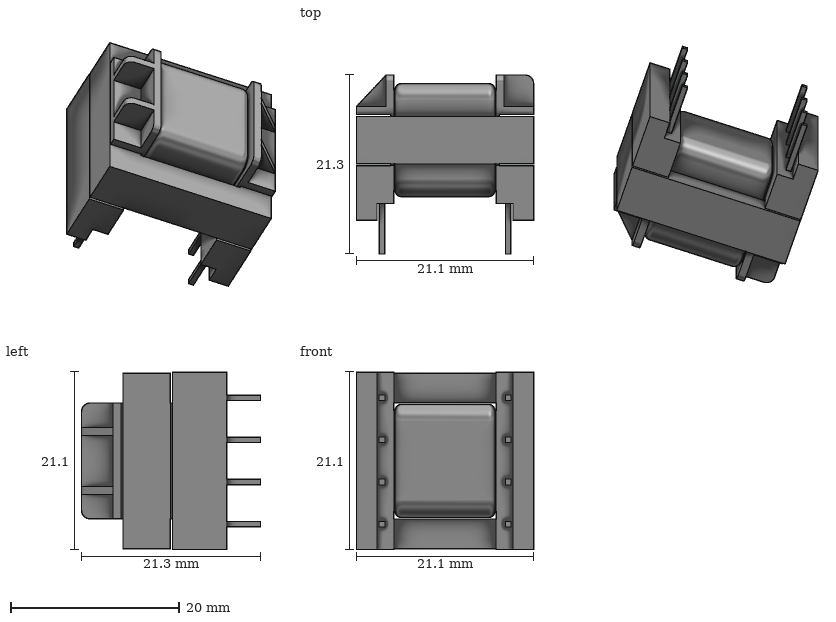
import cadquery as cq


WIDTH = 21.1
CORE_HEIGHT = 20.9
CORE_DEPTH = 5.67
WINDOW_HEIGHT = 13.8

FLANGE_GAP = 12.15
FLANGE_THICKNESS = 0.4
CORE_CLEARANCE = 0.21
BLOCK_HEIGHT = WIDTH
BLOCK_DEPTH = 6.5
BLOCK_STEP_DEPTH = 4.5
BLOCK_OUTER_WIDTH = 2.5
WALL_THICKNESS = 0.94
BRACKET_DEPTH = 4.7
BRACKET_CORNER_RADIUS = 1.02
RIB_OFFSET = 3.5

COIL_LENGTH = 11.93
COIL_SIZE = 13.48
COIL_CORNER_RADIUS = 2.0
COIL_END_RADIUS = 0.79

PIN_SIZE = 0.65
PIN_LENGTH = 4.0
PIN_PITCH = 5.0
PIN_X = 7.5
PINS_PER_SIDE = 4

half_width = WIDTH / 2
inner_x = FLANGE_GAP / 2
window_half_width = inner_x + FLANGE_THICKNESS
block_front_y = -(CORE_DEPTH / 2 + CORE_CLEARANCE)
block_step_y = block_front_y - BLOCK_STEP_DEPTH
block_end_y = block_front_y - BLOCK_DEPTH
pin_tip_y = block_end_y - PIN_LENGTH
bracket_start_y = CORE_DEPTH / 2 + CORE_CLEARANCE
bracket_plate_y = bracket_start_y + WALL_THICKNESS
bracket_end_y = bracket_start_y + BRACKET_DEPTH


def box_between(x_range, y_range, height):
    """Box spanning two X and two Y positions, centred on Z = 0."""
    x_start, x_end = x_range
    y_start, y_end = y_range
    return (
        cq.Workplane("XY")
        .box(x_end - x_start, y_end - y_start, height)
        .translate(((x_start + x_end) / 2, (y_start + y_end) / 2, 0))
    )


def make_core():
    window = cq.Workplane("XY").box(2 * window_half_width, CORE_DEPTH, WINDOW_HEIGHT)
    return cq.Workplane("XY").box(WIDTH, CORE_DEPTH, CORE_HEIGHT).cut(window)


def make_coil():
    """Winding, slightly shorter than the flange gap, with rounded corners and ends."""
    return (
        cq.Workplane("XY")
        .box(COIL_LENGTH, COIL_SIZE, COIL_SIZE)
        .edges("|X")
        .fillet(COIL_CORNER_RADIUS)
        .faces("<X or >X")
        .edges()
        .fillet(COIL_END_RADIUS)
    )


def make_tube():
    """Bobbin tube inside the coil, as large as its flat ends, joining the two flanges."""
    tube_size = COIL_SIZE - 2 * COIL_END_RADIUS
    return (
        cq.Workplane("XY")
        .box(FLANGE_GAP, tube_size, tube_size)
        .edges("|X")
        .fillet(COIL_CORNER_RADIUS - COIL_END_RADIUS)
    )


def make_flange():
    """Left flange, joining the pin block to the rear bracket."""
    return box_between((-window_half_width, -inner_x), (block_front_y, bracket_start_y), WINDOW_HEIGHT)


def make_pin_block():
    """Left stepped block that carries a row of pins."""
    outer_part = box_between(
        (-half_width, -half_width + BLOCK_OUTER_WIDTH), (block_end_y, block_front_y), BLOCK_HEIGHT
    )
    inner_part = box_between((-half_width, -inner_x), (block_step_y, block_front_y), BLOCK_HEIGHT)
    return outer_part.union(inner_part)


def make_pin_row():
    """Left row of square pins."""
    pin = box_between(
        (-PIN_X - PIN_SIZE / 2, -PIN_X + PIN_SIZE / 2), (pin_tip_y, block_step_y), PIN_SIZE
    )
    row = cq.Workplane("XY")
    for index in range(PINS_PER_SIDE):
        pin_z = (index - (PINS_PER_SIDE - 1) / 2) * PIN_PITCH
        row = row.add(pin.translate((0, 0, pin_z)))
    return row.combine()


def make_bracket():
    """Left L-shaped rear bracket: a plate along the core and an upright wall."""
    plate = box_between((-half_width, -inner_x), (bracket_start_y, bracket_plate_y), WINDOW_HEIGHT)
    wall = (
        box_between((-inner_x - WALL_THICKNESS, -inner_x), (bracket_start_y, bracket_end_y), WINDOW_HEIGHT)
        .edges(">Y and |X")
        .fillet(BRACKET_CORNER_RADIUS)
    )
    return plate.union(wall)


def make_ribs(rib):
    """Place one rib, centred on Z = 0, at both rib heights."""
    return rib.translate((0, 0, RIB_OFFSET)).union(rib.translate((0, 0, -RIB_OFFSET)))


def make_sloped_rib():
    """Triangular rib of the left bracket."""
    wall_x = -inner_x - WALL_THICKNESS
    return (
        cq.Workplane("XY")
        .polyline([(-half_width, bracket_plate_y), (wall_x, bracket_plate_y), (wall_x, bracket_end_y)])
        .close()
        .extrude(WALL_THICKNESS / 2, both=True)
    )


def make_square_rib():
    """Rectangular rib of the right bracket, with its free corner rounded."""
    return (
        box_between(
            (inner_x + WALL_THICKNESS, half_width), (bracket_plate_y, bracket_end_y), WALL_THICKNESS
        )
        .edges(">X and >Y")
        .fillet(BRACKET_CORNER_RADIUS)
    )


left_side = make_flange().union(make_pin_block()).union(make_pin_row()).union(make_bracket())
right_side = left_side.mirror("YZ")

result = (
    make_core()
    .union(left_side)
    .union(right_side)
    .union(make_tube())
    .union(make_coil())
    .union(make_ribs(make_sloped_rib()))
    .union(make_ribs(make_square_rib()))
)